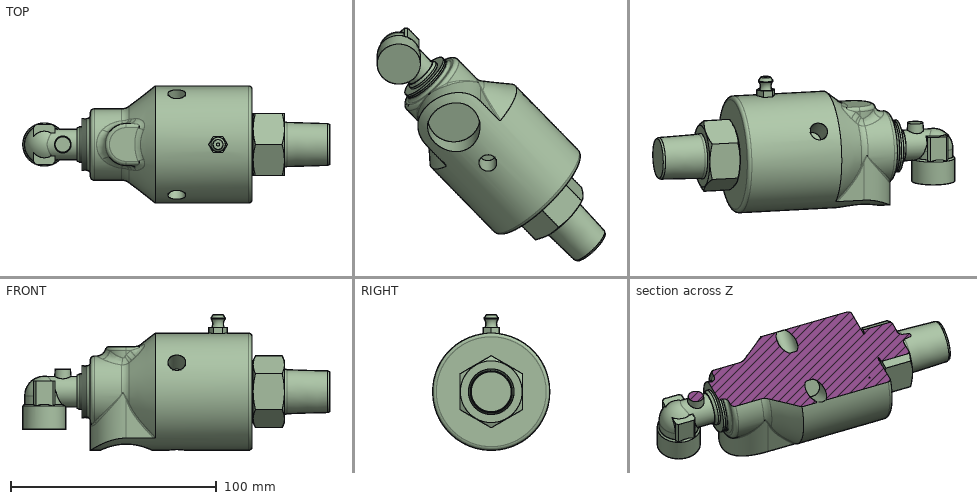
import cadquery as cq
import math


collar_radius = 10.5
collar_bottom_z = -18.3
collar_top_z = -7.0
collar_chamfer_height = 0.9
collar_chamfer_width = 0.8
elbow_radius = 9.6
dome_center_z = -2.0
flat_length = 10.3
flat_half_width = 9.65
flat_top_z = 5.1
flat_chamfer_x = 1.0
flat_chamfer_y = 1.2
tube_radius = 15.0 / 2
tap_x = 9.0
tap_base_radius = 4.58
tap_top_radius = 3.75
tap_top_z = 11.0

nipple_x = 15.8
nipple_radius = 17.48 / 2
nipple_chamfer_length = 1.5
nipple_chamfer_height = 0.75
ring_x = 18.3
ring_end_x = 20.9
ring_radius = 25.4 / 2
ring_groove_x = 19.4
ring_groove_width = 0.9
ring_groove_depth = 0.2

neck_x = 22.3
neck_radius = 17.4
neck_round = 2.0
neck_recess_radius = 1.5
cone_x = 39.6
shoulder_x = 53.9
housing_radius = 57.0 / 2
housing_end_x = 101.0
housing_end_round = 1.8
cone_blend_radius = 6.0

port_boss_radius = 17.5
port_x = neck_x + port_boss_radius
port_boss_round = 1.0
port_radius = 25.4 / 2
port_depth = 14.0
pad_radius = 10.2
pad_top_z = 21.95
pad_top_round = 2.0
pad_base_round = 4.5

weep_x = 64.4
weep_diameter = 8.6
weep_depth = 14.0
weep_angles = (30, 150, 270)

fitting_x = 84.4
fitting_hex_flats = 7.9
fitting_hex_top_z = 31.3
fitting_root_depth = 1.0
fitting_neck_radius = 5.36 / 2
fitting_neck_flare = 0.4
fitting_neck_z = 33.4
fitting_head_radius = 3.55
fitting_head_z = 35.4
fitting_rim_height = 0.4
fitting_tip_radius = 2.4
overall_height = 65.97
fitting_tip_z = overall_height - housing_radius
fitting_bore_diameter = 1.5
fitting_bore_depth = 2.0

hex_x = 101.4
hex_end_x = 116.7
hex_flats = 30.3
hex_face_radius = 15.0
hex_chamfer_angle = 25.0
rotor_seat_radius = 27.9 / 2
pipe_root_radius = 11.1
pipe_x = 117.9
pipe_start_radius = 10.8
pipe_end_radius = 10.2
overall_length = 149.17
pipe_end_x = overall_length - collar_radius
pipe_end_chamfer_length = 1.0
pipe_end_chamfer_height = 0.5


def revolve_about_x(profile):
    """Spin a closed (x, radius) profile about the X axis."""
    return profile.close().revolve(360, (0, 0, 0), (1, 0, 0))


def x_cylinder(start_x, end_x, radius):
    return cq.Workplane("YZ", origin=(start_x, 0, 0)).circle(radius).extrude(end_x - start_x)


def z_cylinder(center_x, start_z, end_z, radius):
    return cq.Workplane("XY", origin=(center_x, 0, start_z)).circle(radius).extrude(end_z - start_z)


def arc_point(center_x, center_r, radius, degrees):
    """Point at the given angle on an arc of an (x, radius) profile."""
    angle = math.radians(degrees)
    return (center_x + radius * math.cos(angle), center_r + radius * math.sin(angle))


def corner_diameter(flats):
    """Diameter across the corners of a hexagon, from its width across flats."""
    return flats / math.cos(math.radians(30))


def make_housing():
    cone_angle = math.atan2(housing_radius - neck_radius, shoulder_x - cone_x)
    tangent_length = cone_blend_radius * math.tan(cone_angle / 2)
    blend_start_x = cone_x - tangent_length
    blend_center_r = neck_radius + cone_blend_radius
    half_angle = math.degrees(cone_angle / 2)
    blend_mid = arc_point(blend_start_x, blend_center_r, cone_blend_radius, -90 + half_angle)
    blend_end = arc_point(blend_start_x, blend_center_r, cone_blend_radius, -90 + 2 * half_angle)
    recess_end_r = ring_radius + neck_recess_radius
    recess_center_x = neck_x - neck_recess_radius
    end_round_x = housing_end_x - housing_end_round
    end_round_r = housing_radius - housing_end_round
    profile = (
        cq.Workplane("XY")
        .moveTo(recess_center_x, 0)
        .lineTo(recess_center_x, ring_radius)
        .threePointArc(
            arc_point(recess_center_x, recess_end_r, neck_recess_radius, -45),
            (neck_x, recess_end_r),
        )
        .lineTo(neck_x, neck_radius - neck_round)
        .threePointArc(
            arc_point(neck_x + neck_round, neck_radius - neck_round, neck_round, 135),
            (neck_x + neck_round, neck_radius),
        )
        .lineTo(blend_start_x, neck_radius)
        .threePointArc(blend_mid, blend_end)
        .lineTo(shoulder_x, housing_radius)
        .lineTo(end_round_x, housing_radius)
        .threePointArc(
            arc_point(end_round_x, end_round_r, housing_end_round, 45),
            (housing_end_x, end_round_r),
        )
        .lineTo(housing_end_x, 0)
    )
    return revolve_about_x(profile)


def u_post(radius, height):
    """Upright post, rounded toward -X and running straight into the housing toward +X."""
    return (
        cq.Workplane("XY", origin=(port_x, 0, 0))
        .moveTo(shoulder_x + radius - port_x, -radius)
        .lineTo(0, -radius)
        .threePointArc((-radius, 0), (0, radius))
        .lineTo(shoulder_x + radius - port_x, radius)
        .close()
        .extrude(height)
    )


def add_pad(housing):
    post = u_post(pad_radius, pad_top_z).faces(">Z").edges("not >X").fillet(pad_top_round)
    housing = housing.union(post)
    around_pad = cq.selectors.BoxSelector(
        (port_x - pad_radius, -housing_radius, 0),
        (shoulder_x, housing_radius, pad_top_z),
    )
    seam = housing.edges(around_pad).edges("not (%LINE or %CIRCLE)")
    return seam.fillet(pad_base_round)


def add_port_boss(housing):
    boss = u_post(port_boss_radius, -housing_radius)
    envelope = x_cylinder(neck_x, shoulder_x + port_boss_radius, housing_radius)
    housing = housing.union(boss.intersect(envelope))
    beside_boss = cq.selectors.BoxSelector(
        (neck_x + neck_round, -port_boss_radius, -neck_radius),
        (shoulder_x, port_boss_radius, 0),
    )
    seam = housing.edges(beside_boss).edges("not (%LINE or %CIRCLE)")
    housing = seam.fillet(port_boss_round)
    bore = z_cylinder(port_x, -housing_radius, -housing_radius + port_depth, port_radius)
    return housing.cut(bore)


def cut_weep_holes(housing):
    hole = (
        cq.Workplane("XZ", origin=(weep_x, -housing_radius, 0))
        .circle(weep_diameter / 2)
        .extrude(-weep_depth)
        .rotate((0, 0, 0), (1, 0, 0), 180)
    )
    for angle in weep_angles:
        housing = housing.cut(hole.rotate((0, 0, 0), (1, 0, 0), angle))
    return housing


def make_fitting():
    root_z = housing_radius - fitting_root_depth
    hexagon = (
        cq.Workplane("XY", origin=(fitting_x, 0, root_z))
        .polygon(6, corner_diameter(fitting_hex_flats))
        .extrude(fitting_hex_top_z - root_z)
    )
    stem = (
        cq.Workplane("XZ", origin=(fitting_x, 0, 0))
        .moveTo(0, housing_radius)
        .lineTo(fitting_neck_radius + fitting_neck_flare, housing_radius)
        .lineTo(fitting_neck_radius + fitting_neck_flare, fitting_hex_top_z)
        .threePointArc(
            (fitting_neck_radius, fitting_neck_z),
            (fitting_head_radius, fitting_head_z),
        )
        .lineTo(fitting_head_radius, fitting_head_z + fitting_rim_height)
        .lineTo(fitting_tip_radius, fitting_tip_z)
        .lineTo(0, fitting_tip_z)
        .close()
        .revolve(360, (0, 0, 0), (0, 1, 0))
    )
    bore = z_cylinder(fitting_x, fitting_tip_z - fitting_bore_depth, fitting_tip_z, fitting_bore_diameter / 2)
    return hexagon.union(stem).cut(bore)


def make_elbow():
    collar = z_cylinder(0, collar_bottom_z, collar_top_z, collar_radius)
    collar_chamfer = (
        cq.Workplane("XZ")
        .moveTo(0, collar_top_z)
        .lineTo(collar_radius, collar_top_z)
        .lineTo(collar_radius - collar_chamfer_width, collar_top_z + collar_chamfer_height)
        .lineTo(0, collar_top_z + collar_chamfer_height)
        .close()
        .revolve(360, (0, 0, 0), (0, 1, 0))
    )
    barrel = z_cylinder(0, collar_top_z, dome_center_z, elbow_radius)
    dome = cq.Workplane("XY", origin=(0, 0, dome_center_z)).sphere(elbow_radius)
    flats = (
        cq.Workplane("XY", origin=(0, 0, collar_top_z))
        .rect(flat_length, 2 * flat_half_width)
        .extrude(flat_top_z - collar_top_z)
        .edges("|Z")
        .chamfer(flat_chamfer_x, flat_chamfer_y)
    )
    tube = x_cylinder(0, nipple_x, tube_radius)
    tap = (
        cq.Workplane("XY", origin=(tap_x, 0, 0))
        .circle(tap_base_radius)
        .workplane(offset=tap_top_z)
        .circle(tap_top_radius)
        .loft()
    )
    elbow = collar.union(collar_chamfer).union(barrel).union(dome)
    return elbow.union(flats).union(tube).union(tap)


def make_nipple():
    groove_r = ring_radius - ring_groove_depth
    groove_end_x = ring_groove_x + ring_groove_width
    profile = (
        cq.Workplane("XY")
        .moveTo(nipple_x, 0)
        .lineTo(nipple_x, nipple_radius - nipple_chamfer_height)
        .lineTo(nipple_x + nipple_chamfer_length, nipple_radius)
        .lineTo(ring_x, nipple_radius)
        .lineTo(ring_x, ring_radius)
        .lineTo(ring_groove_x, ring_radius)
        .lineTo(ring_groove_x, groove_r)
        .lineTo(groove_end_x, groove_r)
        .lineTo(groove_end_x, ring_radius)
        .lineTo(ring_end_x, ring_radius)
        .lineTo(ring_end_x, 0)
    )
    return revolve_about_x(profile)


def make_rotor():
    seat = x_cylinder(housing_end_x, hex_x, rotor_seat_radius)
    hexagon = (
        cq.Workplane("YZ", origin=(hex_x, 0, 0))
        .polygon(6, corner_diameter(hex_flats))
        .extrude(hex_end_x - hex_x)
        .rotate((0, 0, 0), (1, 0, 0), 90)
    )
    cap_radius = hex_flats
    cap_length = (cap_radius - hex_face_radius) * math.tan(math.radians(hex_chamfer_angle))
    chamfer_envelope = revolve_about_x(
        cq.Workplane("XY")
        .moveTo(hex_x, 0)
        .lineTo(hex_x, hex_face_radius)
        .lineTo(hex_x + cap_length, cap_radius)
        .lineTo(hex_end_x - cap_length, cap_radius)
        .lineTo(hex_end_x, hex_face_radius)
        .lineTo(hex_end_x, 0)
    )
    pipe = revolve_about_x(
        cq.Workplane("XY")
        .moveTo(hex_end_x, 0)
        .lineTo(hex_end_x, pipe_root_radius)
        .lineTo(pipe_x, pipe_start_radius)
        .lineTo(pipe_end_x - pipe_end_chamfer_length, pipe_end_radius)
        .lineTo(pipe_end_x, pipe_end_radius - pipe_end_chamfer_height)
        .lineTo(pipe_end_x, 0)
    )
    return seat.union(hexagon.intersect(chamfer_envelope)).union(pipe)


housing = cut_weep_holes(add_port_boss(add_pad(make_housing())))
result = housing.union(make_fitting()).union(make_nipple()).union(make_elbow()).union(make_rotor())